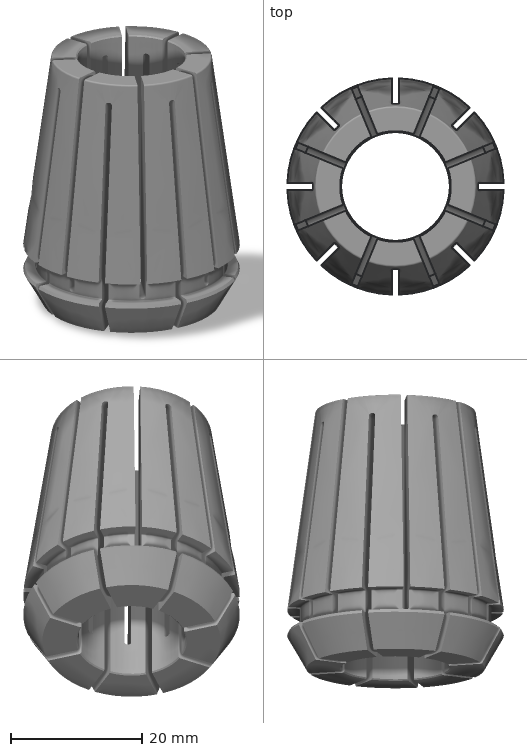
import cadquery as cq

length = 40.0
max_radius = 16.5
bore_radius = 8.25
top_radius = 12.2

groove_radius = 14.6
groove_top = 9.1
groove_bottom = 5.6
groove_fillet = 0.15
flange_edge_height = 5.1
nose_radius = 13.55

rim_fillet = 0.3
bore_chamfer = 0.2
flange_chamfer = groove_bottom - flange_edge_height
flange_top_radius = max_radius - flange_chamfer / 2

slot_width = 1.0
slot_corner_radius = 0.45
slots_per_end = 8
slot_pitch = 360 / slots_per_end
nose_slot_end = 37.1
top_slot_end = 5.9


def collet_body():
    """Revolved body: tapered nose, groove, long locating taper and bore."""
    bore_edge = cq.selectors.RadiusNthSelector(0)
    outer_edge = cq.selectors.RadiusNthSelector(1)
    groove_edges = cq.selectors.RadiusNthSelector(3)
    profile = (
        cq.Workplane("XZ")
        .moveTo(bore_radius, 0)
        .lineTo(nose_radius, 0)
        .lineTo(max_radius, flange_edge_height)
        .lineTo(flange_top_radius, groove_bottom)
        .lineTo(groove_radius, groove_bottom)
        .lineTo(groove_radius, groove_top)
        .lineTo(max_radius, groove_top)
        .lineTo(top_radius, length)
        .lineTo(bore_radius, length)
        .close()
    )
    body = profile.revolve(360, (0, 0, 0), (0, 1, 0))
    body = body.edges(groove_edges).fillet(groove_fillet)
    body = body.faces(">Z").edges(outer_edge).fillet(rim_fillet)
    return body.faces(">Z or <Z").edges(bore_edge).chamfer(bore_chamfer)


def slot_cutter(open_height, end_height, angle):
    """Radial cutter from the axis outward, with rounded corners at its closed end."""
    slot_length = abs(end_height - open_height)
    reach = max_radius + slot_width
    blade = (
        cq.Workplane("XY")
        .box(reach, slot_width, slot_length, centered=(False, True, False))
        .translate((0, 0, min(open_height, end_height)))
    )
    closed_end = ">Z" if end_height > open_height else "<Z"
    blade = blade.faces(closed_end).edges("|X").fillet(slot_corner_radius)
    return blade.rotate((0, 0, 0), (0, 0, 1), angle)


result = collet_body()
for index in range(slots_per_end):
    nose_angle = index * slot_pitch
    top_angle = nose_angle + slot_pitch / 2
    result = result.cut(slot_cutter(0, nose_slot_end, nose_angle))
    result = result.cut(slot_cutter(length, top_slot_end, top_angle))